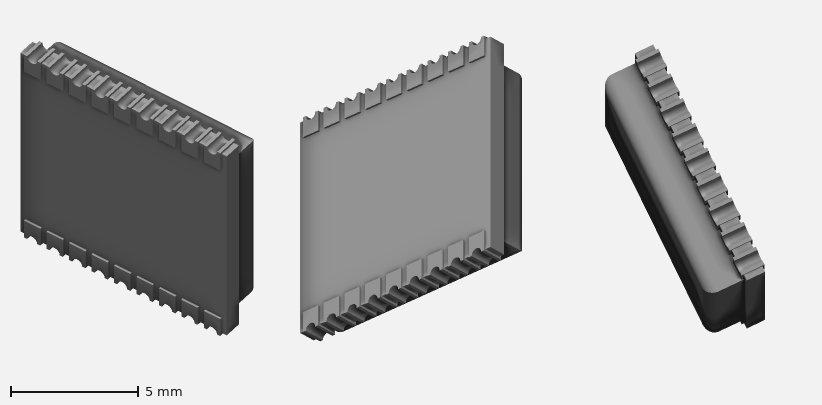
import cadquery as cq

board_width = 10.1
board_height = 9.5
board_thickness = 0.8

plating = 0.1
contact_count = 9
contact_pitch = 1.1
contact_width = 0.8
contact_length = 0.9
notch_radius = 0.25

lid_width = 9.65
lid_height = 7.95
lid_depth = 1.6
lid_edge_radius = 0.5

board_back = plating
board_front = board_back + board_thickness
contact_depth = board_thickness + 2 * plating
contact_edge = board_height / 2 + plating


def block(width, depth, height, back):
    """Box centred on X and Z, reaching from Y = back towards +Y."""
    return cq.Workplane("XY").box(width, depth, height).translate((0, back + depth / 2, 0))


def make_lid():
    """Lid with its +Y face rounded into all four sides."""
    lid = block(lid_width, lid_depth, lid_height, board_front)
    return lid.faces(">Y").edges().fillet(lid_edge_radius)


def make_contact(x, side):
    """Contact on the upper (side = 1) or lower (side = -1) board edge."""
    z = side * (contact_edge - contact_length / 2)
    return block(contact_width, contact_depth, contact_length, 0).translate((x, 0, z))


def make_notch(x, side):
    """Cylinder along Y that cuts the half-round notch of a contact."""
    axis_start = cq.Vector(x, 0, side * contact_edge)
    return cq.Workplane(cq.Solid.makeCylinder(notch_radius, contact_depth, axis_start, cq.Vector(0, 1, 0)))


first_contact_x = -contact_pitch * (contact_count - 1) / 2
contact_places = [
    (first_contact_x + index * contact_pitch, side)
    for index in range(contact_count)
    for side in (1, -1)
]

module = block(board_width, board_thickness, board_height, board_back)
for x, side in contact_places:
    module = module.union(make_contact(x, side))
for x, side in contact_places:
    module = module.cut(make_notch(x, side))

result = module.union(make_lid())